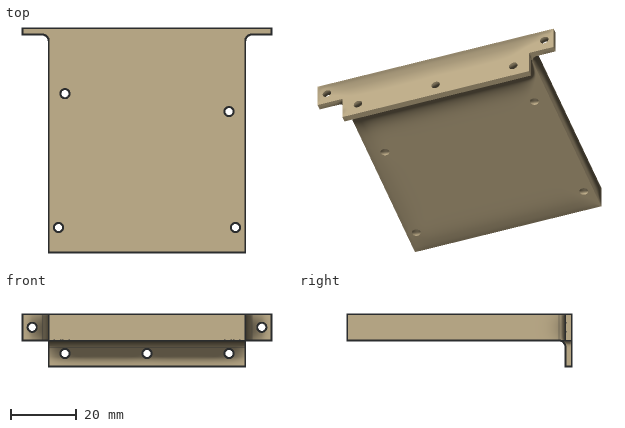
import cadquery as cq

overall_width = 76.0
overall_depth = 68.5
overall_height = 16.0
body_width = 60.05
body_height = 8.05
flange_thickness = 2.0
fillet_radius = 2.0
hole_diameter = 2.7

ear_hole_spacing = 70.0
lip_hole_spacing = 25.0
lip_hole_depth = 12.0
plate_holes = [(-25.0, -20.0), (25.0, -25.45), (-27.0, -60.8), (27.0, -60.8)]

body = cq.Workplane("XY").box(
    body_width, overall_depth, body_height, centered=(True, False, False)
).translate((0, -overall_depth, -body_height))

ears = cq.Workplane("XY").box(
    overall_width, flange_thickness, body_height, centered=(True, False, False)
).translate((0, -flange_thickness, -body_height))

lip = cq.Workplane("XY").box(
    body_width, flange_thickness, overall_height, centered=(True, False, False)
).translate((0, -flange_thickness, -overall_height))


def inside_corner(workplane, corner, direction, length):
    """Concave fillet strip whose square sides meet at corner."""
    x, y = corner
    side, front = direction
    end_x = x + side * fillet_radius
    end_y = y + front * fillet_radius
    bulge = fillet_radius * (1 - 0.5**0.5)
    return (
        workplane.moveTo(x, y)
        .lineTo(end_x, y)
        .threePointArc((x + side * bulge, y + front * bulge), (x, end_y))
        .close()
        .extrude(length)
    )


part = body.union(ears).union(lip)

for side in (-1, 1):
    corner = (side * body_width / 2, -flange_thickness)
    part = part.union(inside_corner(cq.Workplane("XY"), corner, (side, -1), -body_height))

lip_plane = cq.Workplane("YZ").workplane(offset=-body_width / 2)
part = part.union(
    inside_corner(lip_plane, (-flange_thickness, -body_height), (-1, -1), body_width)
)

plate_drills = (
    cq.Workplane("XY").pushPoints(plate_holes).circle(hole_diameter / 2).extrude(-body_height)
)

flange_holes = [(side * ear_hole_spacing / 2, -body_height / 2) for side in (-1, 1)]
flange_holes += [(i * lip_hole_spacing, -lip_hole_depth) for i in (-1, 0, 1)]
flange_drills = (
    cq.Workplane("XZ").pushPoints(flange_holes).circle(hole_diameter / 2).extrude(flange_thickness)
)

result = part.cut(plate_drills).cut(flange_drills)